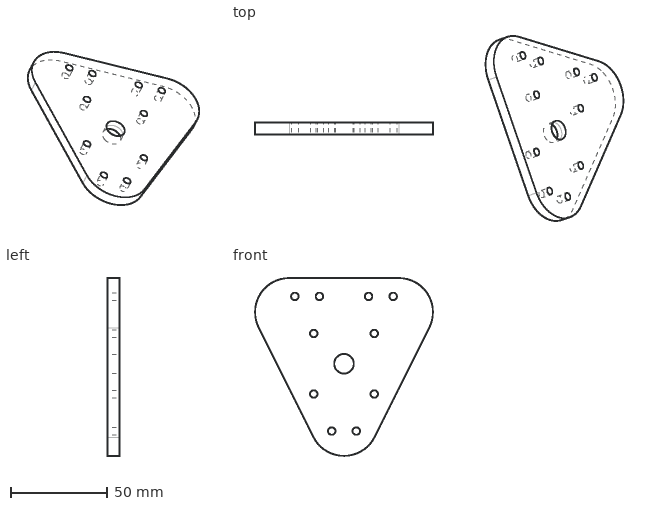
import cadquery as cq

plate_size = 92.3
thickness = 6.4
corner_spacing = 56.8
corner_radius = (plate_size - corner_spacing) / 2

hub_z = 1.7
hub_diameter = 10.1
small_diameter = 3.8
square_half = 15.7
row_offset = 34.9
pair_spacing = 12.7
upper_pair_x = 19.1


def make_plate():
    """Triangle through the corner centers, offset outward with round corners."""
    half = corner_spacing / 2
    corner_centers = [(-half, half), (half, half), (0, -half)]
    return (
        cq.Workplane("XZ")
        .polyline(corner_centers)
        .close()
        .offset2D(corner_radius, "arc")
        .extrude(thickness / 2, both=True)
    )


def make_pins(points, diameter):
    """Cylinders longer than the plate thickness, used to cut through holes."""
    return (
        cq.Workplane("XZ", origin=(0, 0, hub_z))
        .pushPoints(points)
        .circle(diameter / 2)
        .extrude(thickness, both=True)
    )


def hole_pair(middle_x, z):
    """Two hole centers side by side along X."""
    return [(middle_x + side * pair_spacing / 2, z) for side in (-1, 1)]


small_holes = [(x, z) for x in (-square_half, square_half) for z in (-square_half, square_half)]
small_holes += hole_pair(-upper_pair_x, row_offset)
small_holes += hole_pair(upper_pair_x, row_offset)
small_holes += hole_pair(0, -row_offset)

result = (
    make_plate()
    .cut(make_pins([(0, 0)], hub_diameter))
    .cut(make_pins(small_holes, small_diameter))
)